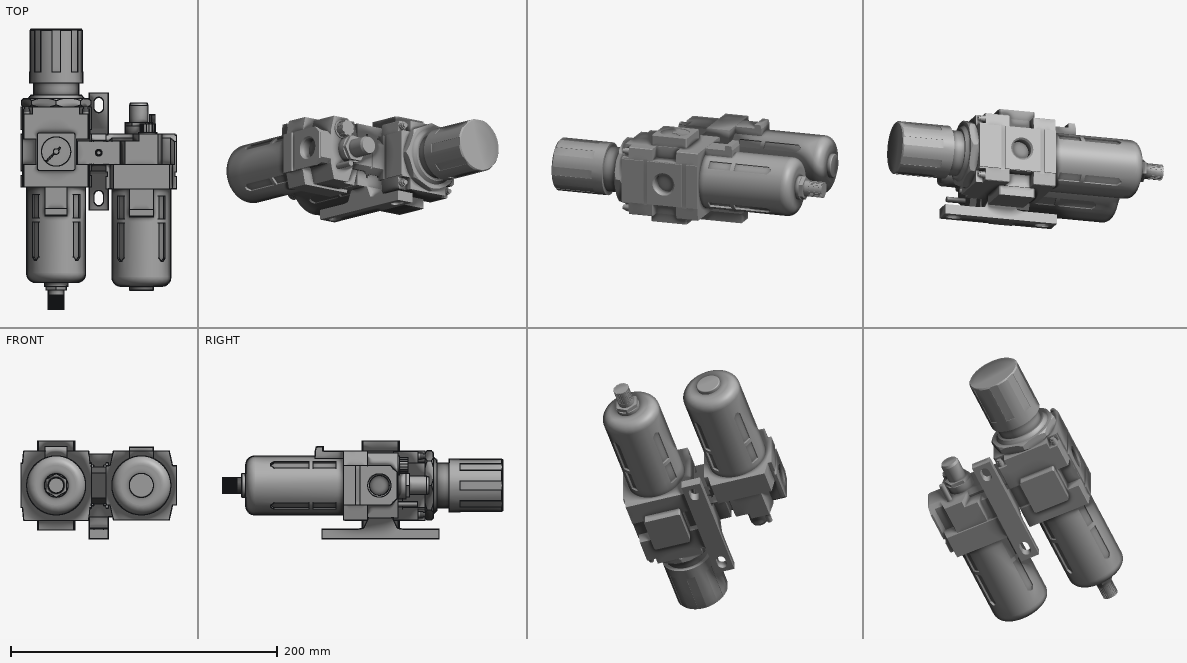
import cadquery as cq
import math


UNIT_PITCH = 64.0
UNIT_DROP = 0.9
PORT_FACE_X = 26.5
BODY_BOTTOM_Y = -26.8
BODY_TOP_Z = 26.0
NOTCH_FLOOR_Z = 17.0
GROOVE_WIDTH = 3.3
GROOVE_Y = (14.8, -16.2)
GROOVE_DEPTH = 1.2
PORT_MOUTH_DIAMETER = 17.5
PORT_DIAMETER = 14.95
PORT_DEPTH = 8.0
OVERCUT = 1.0

BOWL_DIAMETER = 44.4
BOWL_END_RADIUS = 7.0
WINDOW_COLUMNS = 4
WINDOW_START_ANGLE = 45
WINDOW_WIDTH = 6.6
WINDOW_FLOOR_RADIUS = 20.4
SHORT_WINDOW_Y = (-32.4, -49.8)
LONG_WINDOW_Y = (-52.8, -81.8)
WINDOW_POINT_LENGTH = 2.6
WINDOW_POINT_WIDTH = 1.6
LATCH_BOTTOM_Z = 20.2
LATCH_END_Y = -48.3
LATCH_LIP_LENGTH = 5.6
LATCH_LIP_RAKE = 0.8
LATCH_LIP_RAKE_HEIGHT = 3.3
LATCH_TOP_Z = 25.8

REG_TOP_Y = 33.5
REG_BOTTOM_Z = -26.5
REG_PAD_HALF_HEIGHT = 16.7
REG_SHOULDER_X = 25.4
REG_UPPER_X = 24.5
REG_EDGE_CHAMFER = 0.5
REG_BOWL_END_Y = -98.5
REG_LATCH_WIDTH = 16.6
REG_LATCH_LIP_Z = 29.4
REG_NOTCH_X = 15.1
SCREW_NOTCH_X = 17.6
SCREW_NOTCH_Z = 17.7
SCREW_NOTCH_Y = 28.3
SCREW_X = 22.2
SCREW_Z = 22.0
SCREW_WASHER_DIAMETER = 5.0
SCREW_HEAD_DIAMETER = 4.6
SCREW_NECK_DIAMETER = 3.5
SCREW_WASHER_TOP_Y = 30.3
SCREW_HEAD_TOP_Y = 31.9
NUT_ACROSS_FLATS = 48.2
NUT_TOP_Y = 39.8
NUT_CORNER_CHAMFER = 1.6
COLLAR_TOP_Y = 42.4
COLLAR_TOP_RADIUS = 19.0
COLLAR_BASE_RADIUS = 21.2
NECK_DIAMETER = 34.0
KNOB_DIAMETER = 40.0
KNOB_BASE_Y = 51.5
KNOB_TOP_Y = 91.9
KNOB_CHAMFER = 1.0
KNOB_FLAT_COUNT = 8
KNOB_FLAT_WIDTH = 6.6
KNOB_FLAT_BASE_Y = 59.9
KNOB_FLAT_DEPTH = 0.6
GAUGE_WIDTH = 28.2
GAUGE_TOP_Z = 33.5
GAUGE_CORNER_CHAMFER = 1.0
DIAL_DIAMETER = 22.0
DIAL_DEPTH = 0.5
NEEDLE_HUB_DIAMETER = 4.2
NEEDLE_LENGTH = 10.2
NEEDLE_TAIL = 4.2
NEEDLE_WIDTH = 1.0
NEEDLE_ANGLE = 225.0
BACK_PLUG_BOTTOM_Z = -33.5
DRAIN_FLANGE_DIAMETER = 17.8
DRAIN_FLANGE_END_Y = -101.3
DRAIN_HEX_ACROSS_FLATS = 15.5
DRAIN_HEX_END_Y = -104.2
DRAIN_STEM_DIAMETER = 12.0
DRAIN_KNURL_START_Y = -107.8
DRAIN_END_Y = -118.6
DRAIN_KNURL_COUNT = 24
DRAIN_KNURL_WIDTH = 0.7
DRAIN_KNURL_DEPTH = 0.4

LUB_TOP_Y = 14.1
LUB_BOTTOM_Y = -27.1
LUB_UPPER_X = 21.0
LUB_SHOULDER_X = 23.5
LUB_PAD_HALF_HEIGHT = 14.8
LUB_STEP_Y = -8.8
LUB_COVER_TOP_Z = 24.4
LUB_COVER_HALF_TOP = 12.4
LUB_COVER_HALF_FOOT = 15.6
LUB_FLOOR_X = 22.0
LUB_FLOOR_EDGE_X = 24.9
LUB_FLOOR_Z = 12.4
LUB_FLOOR_CHAMFER = 3.2
LUB_NOTCH_Y = 9.0
LUB_NOTCH_TOP_X = -1.8
LUB_NOTCH_FOOT_X = -6.4
LUB_BOWL_END_Y = -100.4
LUB_LATCH_WIDTH = 18.0
LUB_LATCH_LIP_Z = 28.7
LUB_CAP_DIAMETER = 18.2
LUB_CAP_END_Y = -103.4
LUB_CAP_FILLET = 0.8
DOME_X = -1.95
DOME_DIAMETER = 14.0
DOME_TOP_Y = 37.4
DOME_CHAMFER = 0.8
DOME_CHAMFER_LENGTH = 2.0
DOME_BASE_DIAMETER = 20.4
DOME_HEX_BASE_Y = 20.1
DOME_HEX_TOP_Y = 22.7
DRIP_X = 4.9
DRIP_Z = 15.0
DRIP_FLANGE_DIAMETER = 14.0
DRIP_FLANGE_TOP_Y = 15.1
DRIP_KNOB_DIAMETER = 12.0
DRIP_KNOB_TOP_Y = 21.6
DRIP_FLUTE_COUNT = 8
DRIP_FLUTE_WIDTH = 2.0
DRIP_FLUTE_DEPTH = 0.6
PIN_X = 8.2
PIN_Z = -14.0
PIN_DIAMETER = 4.2
PIN_TOP_Y = 28.6
PIN_GROOVE_WIDTH = 0.9
PIN_GROOVE_DEPTH = 0.7

ARM_HALF_LENGTH = 16.1
ARM_HALF_WIDTH = 8.7
ARM_TOP_Z = 23.7
WEB_BOTTOM_Z = 15.2
SEAL_HALF = 13.9
SEAL_CHAMFER = 4.6
NECK_HALF_LENGTH = 3.9
CLAMP_SCREW_DIAMETER = 5.0
CLAMP_RING_DIAMETER = 3.24
CLAMP_RING_DEPTH = 0.6
BRACKET_WIDTH = 14.6
BRACKET_HALF_LENGTH = 44.1
BRACKET_TOP_Z = -32.8
BRACKET_BOTTOM_Z = -40.1
BRACKET_RISE_START_Y = 17.1
BRACKET_RISE_KNEE_Y = 12.6
BRACKET_KNEE_Z = -32.1
BRACKET_SLOT_Y = 35.0
BRACKET_SLOT_LENGTH = 11.4
BRACKET_SLOT_WIDTH = 7.0


def span_box(x0, x1, y0, y1, z0, z1):
    """Box between two corners."""
    return cq.Workplane("XY").box(x1 - x0, y1 - y0, z1 - z0, centered=False).translate((x0, y0, z0))


def rod(diameter, y0, y1, x=0.0, z=0.0):
    """Cylinder along Y."""
    return cq.Workplane("XZ", origin=(x, y0, z)).circle(diameter / 2).extrude(y0 - y1)


def polygon_bar(sides, across_flats, y0, y1, x=0.0, z=0.0, turn=0.0):
    """Regular prism along Y; a corner points to +X before the turn."""
    corner_diameter = across_flats / math.cos(math.pi / sides)
    bar = cq.Workplane("XZ").polygon(sides, corner_diameter).extrude(y0 - y1)
    return bar.rotate((0, 0, 0), (0, 1, 0), turn).translate((x, y0, z))


def section_bar(points, y0, y1):
    """Prism along Y with an XZ outline."""
    return cq.Workplane("XZ", origin=(0, y0, 0)).polyline(points).close().extrude(y0 - y1)


def mirrored_outline(right_side):
    """Closed outline from its right-hand points and their X mirror."""
    return right_side + [(-x, z) for x, z in reversed(right_side)]


def flute(width, floor_radius, y0, y1, depth):
    """Flat-floored cutter lying over the +Z side of a round bar."""
    return span_box(-width / 2, width / 2, y0, y1, floor_radius, floor_radius + 2 * depth)


def cut_around(bar, cutter, count, start=0.0):
    """Cut equal copies of a cutter around the Y axis."""
    for i in range(count):
        bar = bar.cut(cutter.rotate((0, 0, 0), (0, 1, 0), start + i * 360 / count))
    return bar


def port_grooves(pad_half_height, side):
    """The two cross grooves in a port pad; side is -1 or +1 along X."""
    cutters = cq.Workplane("XY")
    for y in GROOVE_Y:
        cutters = cutters.union(
            cq.Workplane("XY")
            .box(2 * GROOVE_DEPTH, GROOVE_WIDTH, 2 * (pad_half_height + OVERCUT))
            .translate((side * PORT_FACE_X, y, 0))
        )
    return cutters


def port_hole(side):
    """Blind pipe port with a countersunk mouth, opening on the -X or +X pad."""
    mouth_depth = (PORT_MOUTH_DIAMETER - PORT_DIAMETER) / 2
    outline = [
        (0, 0),
        (PORT_MOUTH_DIAMETER / 2, 0),
        (PORT_DIAMETER / 2, mouth_depth),
        (PORT_DIAMETER / 2, PORT_DEPTH),
        (0, PORT_DEPTH),
    ]
    hole = cq.Workplane("XZ").polyline(outline).close().revolve(360, (0, 0, 0), (0, 1, 0))
    return hole.rotate((0, 0, 0), (0, 1, 0), -side * 90).translate((side * PORT_FACE_X, 0, 0))


def bowl(end_y):
    """Bowl guard with rounded end and four pairs of sunken windows."""
    shell = rod(BOWL_DIAMETER, end_y, BODY_BOTTOM_Y).faces("<Y").edges().fillet(BOWL_END_RADIUS)
    half = WINDOW_WIDTH / 2
    tip = WINDOW_POINT_WIDTH / 2
    height = BOWL_DIAMETER / 2 - WINDOW_FLOOR_RADIUS + OVERCUT
    long_start, long_end = LONG_WINDOW_Y
    point_start = long_end + WINDOW_POINT_LENGTH
    windows = (
        cq.Workplane("XY", origin=(0, 0, WINDOW_FLOOR_RADIUS))
        .polyline([
            (-half, long_start), (half, long_start), (half, point_start),
            (tip, long_end), (-tip, long_end), (-half, point_start),
        ])
        .close()
        .extrude(height)
        .union(span_box(-half, half, SHORT_WINDOW_Y[1], SHORT_WINDOW_Y[0],
                        WINDOW_FLOOR_RADIUS, WINDOW_FLOOR_RADIUS + height))
    )
    return cut_around(shell, windows, WINDOW_COLUMNS, WINDOW_START_ANGLE)


def latch(width, lip_z):
    """Release latch over the bowl, with a raised lip at its end."""
    half = width / 2
    tongue = span_box(-half, half, LATCH_END_Y, BODY_BOTTOM_Y, LATCH_BOTTOM_Z, LATCH_TOP_Z)
    lip_outline = [
        (LATCH_END_Y, LATCH_BOTTOM_Z),
        (LATCH_END_Y, lip_z - LATCH_LIP_RAKE_HEIGHT),
        (LATCH_END_Y + LATCH_LIP_RAKE, lip_z),
        (LATCH_END_Y + LATCH_LIP_LENGTH, lip_z),
        (LATCH_END_Y + LATCH_LIP_LENGTH, LATCH_BOTTOM_Z),
    ]
    lip = cq.Workplane("YZ").polyline(lip_outline).close().extrude(half, both=True)
    return tongue.union(lip)



def regulator_body():
    """Port body with arm seats, corner screws and the inlet port."""
    pad = REG_PAD_HALF_HEIGHT
    low = REG_BOTTOM_Z
    c = REG_EDGE_CHAMFER
    right_side = [
        (REG_UPPER_X - c, low),
        (REG_UPPER_X, low + c),
        (REG_SHOULDER_X, -pad),
        (PORT_FACE_X, -pad),
        (PORT_FACE_X, pad),
        (REG_SHOULDER_X, pad),
        (REG_UPPER_X, BODY_TOP_Z - c),
        (REG_UPPER_X - c, BODY_TOP_Z),
    ]
    body = section_bar(mirrored_outline(right_side), BODY_BOTTOM_Y, REG_TOP_Y)
    notch_half = ARM_HALF_WIDTH + UNIT_DROP
    reach = PORT_FACE_X + OVERCUT
    tall = BODY_TOP_Z + OVERCUT
    for side in (-1, 1):
        body = body.cut(port_grooves(pad + OVERCUT, side))
        x0, x1 = sorted((side * REG_NOTCH_X, side * reach))
        sx0, sx1 = sorted((side * SCREW_NOTCH_X, side * reach))
        for level in (-1, 1):
            z0, z1 = sorted((level * NOTCH_FLOOR_Z, level * tall))
            body = body.cut(span_box(x0, x1, -notch_half, notch_half, z0, z1))
            z0, z1 = sorted((level * SCREW_NOTCH_Z, level * tall))
            body = body.cut(span_box(sx0, sx1, SCREW_NOTCH_Y, REG_TOP_Y + OVERCUT, z0, z1))
    for side in (-1, 1):
        for level in (-1, 1):
            x = side * SCREW_X
            z = level * SCREW_Z
            body = body.union(rod(SCREW_WASHER_DIAMETER, SCREW_NOTCH_Y, SCREW_WASHER_TOP_Y, x, z))
            body = body.union(rod(SCREW_HEAD_DIAMETER, SCREW_NOTCH_Y, SCREW_HEAD_TOP_Y, x, z))
            body = body.union(rod(SCREW_NECK_DIAMETER, SCREW_NOTCH_Y, REG_TOP_Y, x, z))
    return body.cut(port_hole(-1))


def regulator_bonnet():
    """Panel nut, collar, neck and adjusting knob."""
    corner_diameter = NUT_ACROSS_FLATS / math.cos(math.pi / 8)
    nut = polygon_bar(8, NUT_ACROSS_FLATS, REG_TOP_Y, NUT_TOP_Y)
    nut = nut.intersect(rod(corner_diameter, REG_TOP_Y, NUT_TOP_Y).edges().chamfer(NUT_CORNER_CHAMFER))
    collar = (
        cq.Workplane("XY")
        .polyline([(0, NUT_TOP_Y), (COLLAR_BASE_RADIUS, NUT_TOP_Y),
                   (COLLAR_TOP_RADIUS, COLLAR_TOP_Y), (0, COLLAR_TOP_Y)])
        .close()
        .revolve(360, (0, 0, 0), (0, 1, 0))
    )
    neck = rod(NECK_DIAMETER, COLLAR_TOP_Y, KNOB_BASE_Y)
    knob = rod(KNOB_DIAMETER, KNOB_BASE_Y, KNOB_TOP_Y).faces(">Y").edges().chamfer(KNOB_CHAMFER)
    flat = flute(KNOB_FLAT_WIDTH, KNOB_DIAMETER / 2 - KNOB_FLAT_DEPTH,
                 KNOB_FLAT_BASE_Y, KNOB_TOP_Y, KNOB_FLAT_DEPTH)
    knob = cut_around(knob, flat, KNOB_FLAT_COUNT)
    return nut.union(collar).union(neck).union(knob)


def pressure_gauge():
    """Square gauge with a sunken dial and raised needle."""
    half = GAUGE_WIDTH / 2
    dial_z = GAUGE_TOP_Z - DIAL_DEPTH
    case = span_box(-half, half, -half, half, BODY_TOP_Z, GAUGE_TOP_Z)
    case = case.edges("|Z").chamfer(GAUGE_CORNER_CHAMFER)
    dial = cq.Workplane("XY", origin=(0, 0, dial_z)).circle(DIAL_DIAMETER / 2).extrude(2 * DIAL_DEPTH)
    hub = cq.Workplane("XY", origin=(0, 0, dial_z)).circle(NEEDLE_HUB_DIAMETER / 2).extrude(DIAL_DEPTH)
    pointer = span_box(-NEEDLE_TAIL, NEEDLE_LENGTH, -NEEDLE_WIDTH / 2, NEEDLE_WIDTH / 2, dial_z, GAUGE_TOP_Z)
    pointer = pointer.rotate((0, 0, 0), (0, 0, 1), NEEDLE_ANGLE)
    return case.cut(dial).union(hub).union(pointer)


def back_plug():
    """Square block opposite the gauge."""
    half = GAUGE_WIDTH / 2
    block = span_box(-half, half, -half, half, BACK_PLUG_BOTTOM_Z, REG_BOTTOM_Z)
    return block.edges("|Z").chamfer(GAUGE_CORNER_CHAMFER)


def drain_valve():
    """Flange, hexagon and knurled drain knob under the bowl."""
    flange = rod(DRAIN_FLANGE_DIAMETER, DRAIN_FLANGE_END_Y, REG_BOWL_END_Y)
    hexagon = polygon_bar(6, DRAIN_HEX_ACROSS_FLATS, DRAIN_HEX_END_Y, DRAIN_FLANGE_END_Y, turn=90)
    stem = rod(DRAIN_STEM_DIAMETER, DRAIN_END_Y, DRAIN_HEX_END_Y)
    knurl = flute(DRAIN_KNURL_WIDTH, DRAIN_STEM_DIAMETER / 2 - DRAIN_KNURL_DEPTH,
                  DRAIN_END_Y, DRAIN_KNURL_START_Y, DRAIN_KNURL_DEPTH)
    stem = cut_around(stem, knurl, DRAIN_KNURL_COUNT)
    return flange.union(hexagon).union(stem)


def build_filter_regulator():
    unit = regulator_body()
    for piece in (
        regulator_bonnet(),
        pressure_gauge(),
        back_plug(),
        bowl(REG_BOWL_END_Y),
        latch(REG_LATCH_WIDTH, REG_LATCH_LIP_Z),
        drain_valve(),
    ):
        unit = unit.union(piece)
    return unit



def lubricator_block():
    """Full-height lower part of the lubricator body."""
    right_side = [
        (LUB_UPPER_X, -BODY_TOP_Z),
        (LUB_SHOULDER_X, -LUB_PAD_HALF_HEIGHT),
        (LUB_SHOULDER_X, LUB_PAD_HALF_HEIGHT),
        (LUB_UPPER_X, BODY_TOP_Z),
    ]
    return section_bar(mirrored_outline(right_side), LUB_BOTTOM_Y, LUB_STEP_Y)


def lubricator_head():
    """Lowered head with port pads, hooked arm seats and covers on both faces."""
    pad = LUB_PAD_HALF_HEIGHT
    reach = PORT_FACE_X
    core = span_box(-reach, reach, LUB_BOTTOM_Y, LUB_TOP_Y, -pad, pad)
    seat_side = [(LUB_FLOOR_X, LUB_FLOOR_Z), (LUB_FLOOR_EDGE_X, pad)]
    seat = section_bar(mirrored_outline(seat_side), LUB_STEP_Y, LUB_TOP_Y)
    core = core.cut(seat).cut(seat.mirror("XY"))
    lip_height = pad - LUB_FLOOR_Z
    edge_drop = [
        (LUB_TOP_Y - LUB_FLOOR_CHAMFER - lip_height, pad),
        (LUB_TOP_Y, pad),
        (LUB_TOP_Y, LUB_FLOOR_Z - LUB_FLOOR_CHAMFER),
    ]
    wedge = cq.Workplane("YZ").polyline(edge_drop).close().extrude(reach, both=True)
    core = core.cut(wedge).cut(wedge.mirror("XY"))
    foot = LUB_COVER_HALF_FOOT
    top = LUB_COVER_HALF_TOP
    base_z = LUB_FLOOR_Z - LUB_FLOOR_CHAMFER
    cover_side = [(foot, base_z), (foot, LUB_FLOOR_Z), (top, LUB_COVER_TOP_Z)]
    cover = section_bar(mirrored_outline(cover_side), LUB_STEP_Y, LUB_NOTCH_Y)
    stepped_end = cover_side + [
        (LUB_NOTCH_TOP_X, LUB_COVER_TOP_Z),
        (LUB_NOTCH_FOOT_X, LUB_FLOOR_Z),
        (LUB_NOTCH_FOOT_X, base_z),
    ]
    cover = cover.union(section_bar(stepped_end, LUB_NOTCH_Y, LUB_TOP_Y))
    return core.union(cover).union(cover.mirror("XY"))


def sight_dome():
    """Sight dome on its round and hexagonal base."""
    base = rod(DOME_BASE_DIAMETER, LUB_TOP_Y, DOME_HEX_BASE_Y, DOME_X)
    hexagon = polygon_bar(6, DOME_BASE_DIAMETER * math.cos(math.pi / 6),
                          DOME_HEX_BASE_Y, DOME_HEX_TOP_Y, DOME_X)
    dome = rod(DOME_DIAMETER, DOME_HEX_TOP_Y, DOME_TOP_Y, DOME_X)
    dome = dome.faces(">Y").edges().chamfer(DOME_CHAMFER_LENGTH, DOME_CHAMFER)
    return base.union(hexagon).union(dome)


def drip_adjuster():
    """Fluted drip-rate knob on its flange."""
    flange = rod(DRIP_FLANGE_DIAMETER, LUB_TOP_Y, DRIP_FLANGE_TOP_Y)
    knob = rod(DRIP_KNOB_DIAMETER, DRIP_FLANGE_TOP_Y, DRIP_KNOB_TOP_Y)
    cutter = flute(DRIP_FLUTE_WIDTH, DRIP_KNOB_DIAMETER / 2 - DRIP_FLUTE_DEPTH,
                   DRIP_FLANGE_TOP_Y, DRIP_KNOB_TOP_Y, DRIP_FLUTE_DEPTH)
    knob = cut_around(knob, cutter, DRIP_FLUTE_COUNT)
    return flange.union(knob).translate((DRIP_X, 0, DRIP_Z))


def filler_pin():
    """Small pin with a groove along its side."""
    pin = rod(PIN_DIAMETER, LUB_TOP_Y, PIN_TOP_Y)
    pin = pin.cut(flute(PIN_GROOVE_WIDTH, PIN_DIAMETER / 2 - PIN_GROOVE_DEPTH,
                        LUB_TOP_Y, PIN_TOP_Y, PIN_GROOVE_DEPTH))
    return pin.translate((PIN_X, 0, PIN_Z))


def build_lubricator():
    cap = rod(LUB_CAP_DIAMETER, LUB_CAP_END_Y, LUB_BOWL_END_Y).faces("<Y").edges().fillet(LUB_CAP_FILLET)
    unit = lubricator_block()
    for piece in (
        lubricator_head(),
        sight_dome(),
        drip_adjuster(),
        filler_pin(),
        bowl(LUB_BOWL_END_Y),
        latch(LUB_LATCH_WIDTH, LUB_LATCH_LIP_Z),
        cap,
    ):
        unit = unit.union(piece)
    for side in (-1, 1):
        unit = unit.cut(port_grooves(LUB_PAD_HALF_HEIGHT, side))
    unit = unit.cut(port_hole(1))
    return unit.translate((UNIT_PITCH, -UNIT_DROP, 0))



def spacer_link():
    """Octagonal seal block joined by necks to two arms; each arm hooks over the lubricator pad."""
    gap_half = UNIT_PITCH / 2 - PORT_FACE_X
    link = (
        cq.Workplane("XY")
        .box(2 * gap_half, 2 * SEAL_HALF, 2 * SEAL_HALF)
        .edges("|X")
        .chamfer(SEAL_CHAMFER)
    )
    width = ARM_HALF_WIDTH
    arm = span_box(-ARM_HALF_LENGTH, ARM_HALF_LENGTH, -width, width, NOTCH_FLOOR_Z, ARM_TOP_Z)
    arm = arm.union(span_box(-gap_half, gap_half, -width, width, WEB_BOTTOM_Z, NOTCH_FLOOR_Z))
    hook_side = [
        (ARM_HALF_LENGTH, NOTCH_FLOOR_Z),
        (UNIT_PITCH / 2 - LUB_FLOOR_EDGE_X, NOTCH_FLOOR_Z),
        (UNIT_PITCH / 2 - LUB_FLOOR_EDGE_X, LUB_PAD_HALF_HEIGHT),
        (UNIT_PITCH / 2 - LUB_FLOOR_X, LUB_FLOOR_Z),
        (ARM_HALF_LENGTH, LUB_FLOOR_Z),
    ]
    arm = arm.union(section_bar(hook_side, -width, width))
    arm = arm.union(span_box(-NECK_HALF_LENGTH, NECK_HALF_LENGTH, -width, width, SEAL_HALF, WEB_BOTTOM_Z))
    link = link.union(arm).union(arm.mirror("XY"))
    screw_gap = (
        cq.Workplane("XY", origin=(0, 0, ARM_TOP_Z - CLAMP_RING_DEPTH))
        .circle(CLAMP_SCREW_DIAMETER / 2)
        .circle(CLAMP_RING_DIAMETER / 2)
        .extrude(CLAMP_RING_DEPTH)
    )
    return link.cut(screw_gap)


def wall_bracket():
    """Slotted foot plate that rises in the middle to meet the lower arm."""
    right_side = [
        (BRACKET_HALF_LENGTH, BRACKET_BOTTOM_Z),
        (BRACKET_HALF_LENGTH, BRACKET_TOP_Z),
        (BRACKET_RISE_START_Y, BRACKET_TOP_Z),
        (BRACKET_RISE_KNEE_Y, BRACKET_KNEE_Z),
        (ARM_HALF_WIDTH, -ARM_TOP_Z),
    ]
    bracket = (
        cq.Workplane("YZ")
        .polyline(mirrored_outline(right_side))
        .close()
        .extrude(BRACKET_WIDTH / 2, both=True)
    )
    slots = (
        cq.Workplane("XY", origin=(0, 0, BRACKET_BOTTOM_Z))
        .pushPoints([(0, -BRACKET_SLOT_Y), (0, BRACKET_SLOT_Y)])
        .slot2D(BRACKET_SLOT_LENGTH, BRACKET_SLOT_WIDTH, 90)
        .extrude(BRACKET_TOP_Z - BRACKET_BOTTOM_Z)
    )
    return bracket.cut(slots)


def build_spacer_bracket():
    link = spacer_link().translate((0, -UNIT_DROP, 0))
    return link.union(wall_bracket()).translate((UNIT_PITCH / 2, 0, 0))


filter_regulator = build_filter_regulator()
lubricator = build_lubricator()
spacer_bracket = build_spacer_bracket()

result = cq.Compound.makeCompound([
    filter_regulator.solids().val(),
    lubricator.solids().val(),
    spacer_bracket.solids().val(),
])